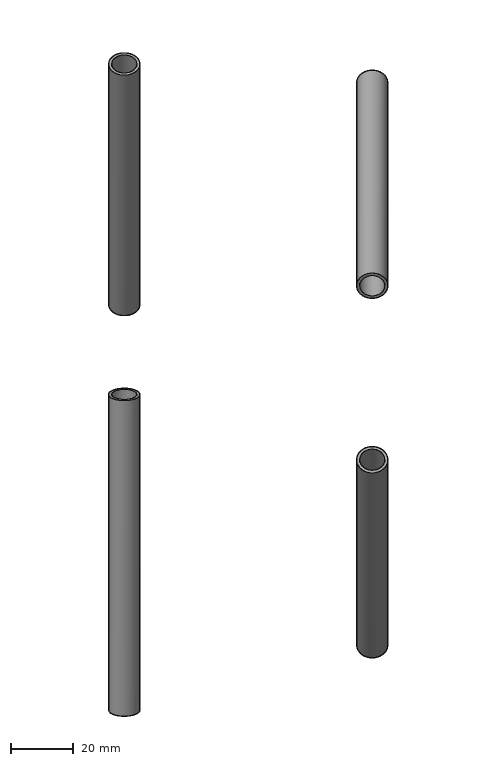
import cadquery as cq

length = 110.0
outer_diameter = 10.0
wall = 1.0
bore_diameter = outer_diameter - 2 * wall

result = (
    cq.Workplane("XY")
    .circle(outer_diameter / 2)
    .circle(bore_diameter / 2)
    .extrude(length)
)